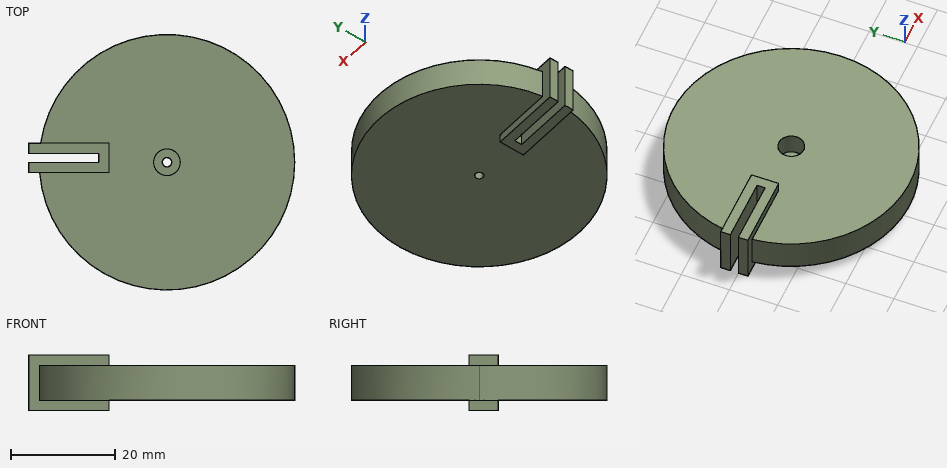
import cadquery as cq

disc_diameter = 49.0
disc_thickness = 6.7

bore_diameter = 1.75
counterbore_diameter = 5.1
floor_thickness = 2.0

wall = 2.0
guide_length = 15.4
slot_width = 1.65
slot_start_y = 0.0

rim_x = -disc_diameter / 2
guide_start_x = rim_x - wall
guide_width = slot_width + 2 * wall
guide_height = disc_thickness + 2 * wall
slot_length = guide_length - wall


def corner_box(length, width, height, corner):
    """Box that extends in +X, +Y and +Z from the given corner."""
    return cq.Workplane("XY").box(length, width, height, centered=False).translate(corner)


def make_disc():
    return cq.Workplane("XY").circle(disc_diameter / 2).extrude(disc_thickness)


def make_guide():
    corner = (guide_start_x, slot_start_y - wall, -wall)
    return corner_box(guide_length, guide_width, guide_height, corner)


def make_slot():
    """Slot open at the outer end and through the full guide height."""
    corner = (guide_start_x, slot_start_y, -wall)
    return corner_box(slot_length, slot_width, guide_height, corner)


def make_centre_hole():
    bore = cq.Workplane("XY").circle(bore_diameter / 2).extrude(disc_thickness)
    counterbore = (
        cq.Workplane("XY")
        .workplane(offset=floor_thickness)
        .circle(counterbore_diameter / 2)
        .extrude(disc_thickness - floor_thickness)
    )
    return bore.union(counterbore)


result = make_disc().union(make_guide()).cut(make_slot()).cut(make_centre_hole())